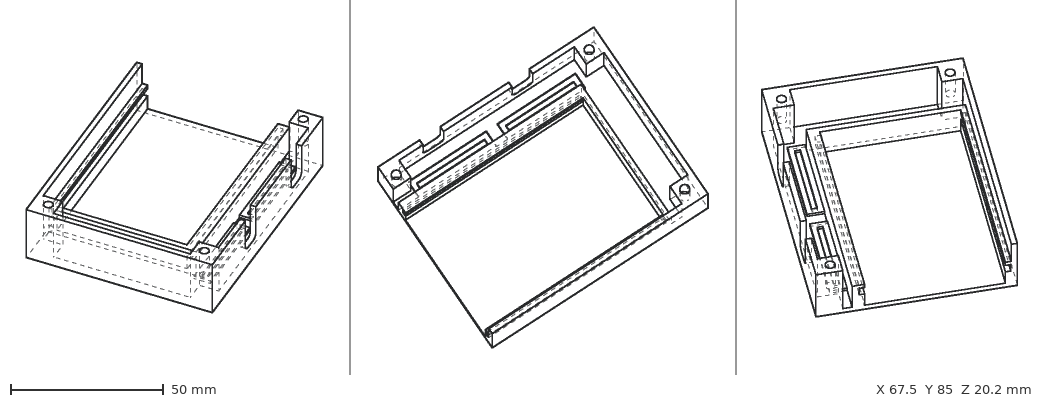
import cadquery as cq

LENGTH_X = 67.5
LENGTH_Y = 85.0
HEIGHT = 20.2
WALL = 2.0
FLOOR = 2.0

HOLE_DIAMETER = 3.2
POST_SIZE = 7.0
HOLE_DEPTH = 10.0

FRAME_TOP = 12.0
FRAME_FRONT_Y = 13.1
FRAME_OUTER_X = 55.4
SIDE_RAIL_WIDTH = 4.2
GROOVE_DEPTH = 1.8
GROOVE_BOTTOM = 7.4
GROOVE_HEIGHT = 3.1

SLOT_WIDTH = 1.9
SLOT_LENGTH = 26.7
SOCKET_TOP = FLOOR + 1.0
SOCKET_CENTRES_Y = (26.75, 61.85)
NOTCH_OFFSET_Y = 2.7
NOTCH_WIDTH = 8.1
NOTCH_BOTTOM = 7.5
NOTCH_RADIUS = 2.0


def block(x0, x1, y0, y1, z0, z1):
    """Box between two opposite corners."""
    return cq.Workplane("XY").box(x1 - x0, y1 - y0, z1 - z0, centered=False).translate((x0, y0, z0))


def tray():
    outer = block(0, LENGTH_X, 0, LENGTH_Y, 0, HEIGHT)
    cavity = block(WALL, LENGTH_X - WALL, WALL, LENGTH_Y, FLOOR, HEIGHT)
    return outer.cut(cavity)


def post_centres():
    near = WALL + POST_SIZE / 2
    right = LENGTH_X - near
    back = LENGTH_Y - POST_SIZE / 2
    return [(near, near), (right, near), (right, back)]


def posts():
    column = cq.Workplane("XY").workplane(offset=FLOOR).pushPoints(post_centres())
    return column.rect(POST_SIZE, POST_SIZE).extrude(HEIGHT - FLOOR)


def screw_holes():
    top = cq.Workplane("XY").workplane(offset=HEIGHT).pushPoints(post_centres())
    return top.circle(HOLE_DIAMETER / 2).extrude(-HOLE_DEPTH)


def frame():
    """U-shaped frame, open at the back, with facing grooves along its two side rails."""
    inner_left = 2 * WALL
    inner_right = FRAME_OUTER_X - SIDE_RAIL_WIDTH
    inner_front = FRAME_FRONT_Y + WALL
    body = block(WALL, FRAME_OUTER_X, FRAME_FRONT_Y, LENGTH_Y, FLOOR, FRAME_TOP)
    opening = block(inner_left, inner_right, inner_front, LENGTH_Y, FLOOR, FRAME_TOP)
    groove = block(
        inner_left - GROOVE_DEPTH,
        inner_right + GROOVE_DEPTH,
        inner_front,
        LENGTH_Y,
        GROOVE_BOTTOM,
        GROOVE_BOTTOM + GROOVE_HEIGHT,
    )
    return body.cut(opening).cut(groove)


def socket(centre_y):
    width = SLOT_WIDTH + 2 * WALL
    half_slot = SLOT_LENGTH / 2
    half_socket = half_slot + WALL
    left = FRAME_OUTER_X
    slot_left = left + WALL
    body = block(left, left + width, centre_y - half_socket, centre_y + half_socket, FLOOR, SOCKET_TOP)
    slot = block(
        slot_left, slot_left + SLOT_WIDTH, centre_y - half_slot, centre_y + half_slot, FLOOR, SOCKET_TOP
    )
    return body.cut(slot)


def cable_notch(centre_y):
    """U-shaped cut with rounded lower corners, open at the top of the right wall."""
    half = NOTCH_WIDTH / 2
    cut = block(LENGTH_X - WALL, LENGTH_X, centre_y - half, centre_y + half, NOTCH_BOTTOM, HEIGHT)
    return cut.edges("|X and <Z").fillet(NOTCH_RADIUS)


result = tray().union(posts()).cut(screw_holes()).union(frame())
for socket_y in SOCKET_CENTRES_Y:
    result = result.union(socket(socket_y)).cut(cable_notch(socket_y + NOTCH_OFFSET_Y))